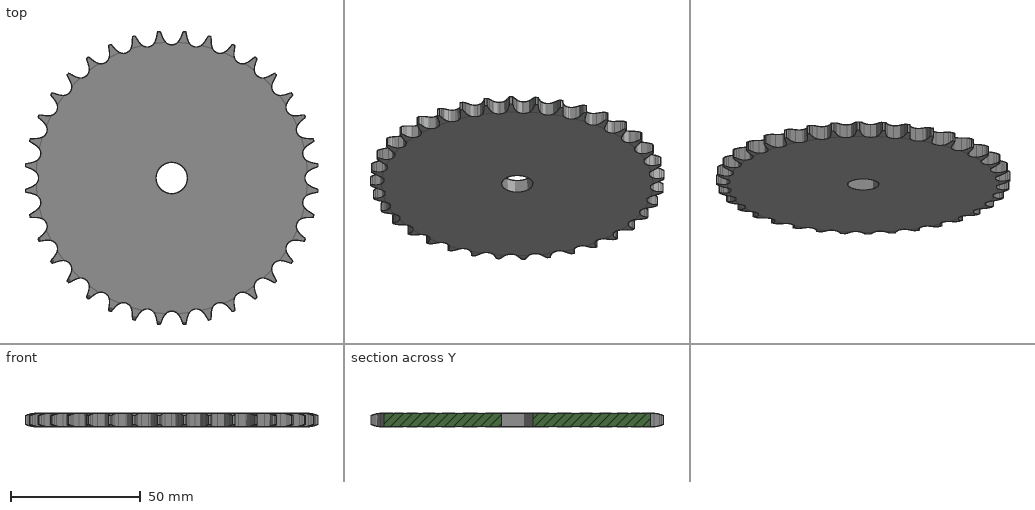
import cadquery as cq
import math

tooth_count = 36
chain_pitch = 9.525
roller_diameter = 6.35
tip_diameter = 113.396
thickness = 5.3
bore_diameter = 12.0

relief_radius = 10.0
relief_depth = 1.0

pitch_angle = 360 / tooth_count
pitch_radius = chain_pitch / (2 * math.sin(math.radians(pitch_angle / 2)))
tip_radius = tip_diameter / 2

seat_clearance = 0.0381
seat_factor = 0.5025
working_factor = 1.3025
working_center_factor = 0.8
topping_center_factor = 1.4
seat_half_angle = math.radians(90 - (35 + 60 / tooth_count))
working_angle = math.radians(18 - 56 / tooth_count)
topping_angle = math.radians(17 - 64 / tooth_count)

seat_radius = seat_factor * roller_diameter + seat_clearance
working_radius = working_factor * roller_diameter + seat_clearance
straight_length = roller_diameter * (
    topping_center_factor * math.sin(topping_angle)
    - working_center_factor * math.sin(working_angle)
)
topping_radius = (
    roller_diameter
    * (
        working_center_factor * math.cos(working_angle)
        + topping_center_factor * math.cos(topping_angle)
    )
    - working_radius
)


def make_blank():
    """Revolve the disc section, its rim narrowed by tangent arcs on both sides."""
    half_thickness = thickness / 2
    half_rim = half_thickness - relief_depth
    relief_width = math.sqrt(relief_radius**2 - (relief_radius - relief_depth) ** 2)
    face_radius = tip_radius - relief_width
    half_sweep = math.asin(relief_width / relief_radius) / 2
    mid_radius = face_radius + relief_radius * math.sin(half_sweep)
    mid_height = half_thickness - relief_radius * (1 - math.cos(half_sweep))
    bore_radius = bore_diameter / 2
    return (
        cq.Workplane("XZ")
        .moveTo(bore_radius, -half_thickness)
        .lineTo(face_radius, -half_thickness)
        .threePointArc((mid_radius, -mid_height), (tip_radius, -half_rim))
        .lineTo(tip_radius, half_rim)
        .threePointArc((mid_radius, mid_height), (face_radius, half_thickness))
        .lineTo(bore_radius, half_thickness)
        .close()
        .revolve(360, (0, 0, 0), (0, 1, 0))
    )


def polar_point(center, radius, angle):
    """Point around a center, its angle measured from -Y towards +X.

    A negative radius gives the diametrically opposite point.
    """
    return (
        center[0] + radius * math.sin(angle),
        center[1] - radius * math.cos(angle),
    )


def make_half_gap():
    """Cutter for the +X half of the gap centred on +Y."""
    seat_center = (0, pitch_radius)
    root = polar_point(seat_center, seat_radius, 0)
    seat_mid = polar_point(seat_center, seat_radius, seat_half_angle / 2)
    seat_end = polar_point(seat_center, seat_radius, seat_half_angle)

    flank_angle = seat_half_angle + working_angle
    working_center = polar_point(seat_end, -working_radius, seat_half_angle)
    working_mid = polar_point(working_center, working_radius, seat_half_angle + working_angle / 2)
    working_end = polar_point(working_center, working_radius, flank_angle)
    straight_end = (
        working_end[0] + straight_length * math.cos(flank_angle),
        working_end[1] + straight_length * math.sin(flank_angle),
    )
    topping_center = polar_point(straight_end, topping_radius, flank_angle)

    topping_end_angle = math.acos((topping_center[1] - tip_radius) / topping_radius)
    topping_end = polar_point(topping_center, -topping_radius, math.pi - topping_end_angle)
    topping_mid_angle = (flank_angle + math.pi - topping_end_angle) / 2
    topping_mid = polar_point(topping_center, -topping_radius, topping_mid_angle)

    return (
        cq.Workplane("XY")
        .workplane(offset=-thickness / 2)
        .moveTo(*root)
        .threePointArc(seat_mid, seat_end)
        .threePointArc(working_mid, working_end)
        .lineTo(*straight_end)
        .threePointArc(topping_mid, topping_end)
        .lineTo(0, topping_end[1])
        .close()
        .extrude(thickness)
    )


def cut_teeth(blank):
    """Cut all the gaps around the blank, leaving the teeth between them."""
    half_gap = make_half_gap()
    gap_halves = [half_gap, half_gap.mirror("YZ")]
    cutters = [
        half.rotate((0, 0, 0), (0, 0, 1), index * pitch_angle).val()
        for index in range(tooth_count)
        for half in gap_halves
    ]
    return cq.Workplane(blank.val().cut(*cutters)).solids()


result = cut_teeth(make_blank())